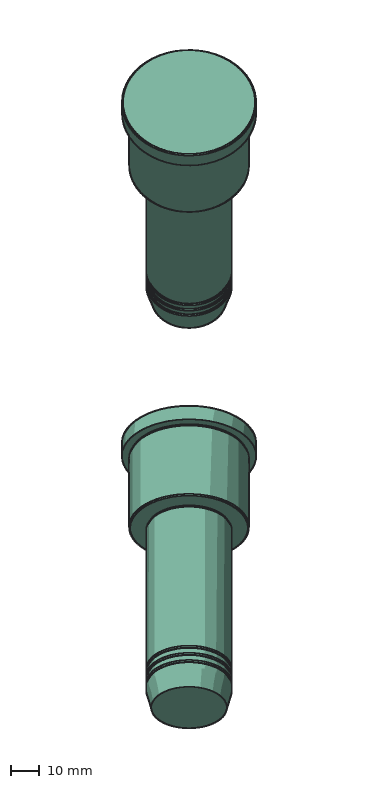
import cadquery as cq

total_height = 111.0
head_radius = 23.48
head_height = 6.0
head_chamfer = 0.4
body_radius = 21.0
body_height = 30.0
body_chamfer = 0.4
pin_radius = 15.0

undercut_depth = 0.5
undercut_neck = 0.3
undercut_height = 1.0

tip_height = 7.0
tip_radius = 13.2

groove_count = 3
groove_pitch = 3.0
groove_width = 1.0
groove_depth = 0.4
first_groove_z = 9.5

head_bottom = total_height - head_height
body_bottom = head_bottom - body_height


def cylinder(radius, bottom, top):
    return cq.Workplane("XY").workplane(offset=bottom).circle(radius).extrude(top - bottom)


def groove_cutter(center_z):
    """V-shaped ring whose point reaches into the pin and which is open to the outside."""
    half_width = groove_width / 2
    profile = (
        cq.Workplane("XZ")
        .moveTo(pin_radius - groove_depth, center_z)
        .lineTo(pin_radius, center_z - half_width)
        .lineTo(head_radius, center_z - half_width)
        .lineTo(head_radius, center_z + half_width)
        .lineTo(pin_radius, center_z + half_width)
        .close()
    )
    return profile.revolve(360, (0, 0, 0), (0, 1, 0))


def undercut_shaft(radius, bottom, shoulder):
    """Shaft that narrows just below the shoulder it hangs from."""
    neck_radius = radius - undercut_depth
    profile = (
        cq.Workplane("XZ")
        .moveTo(0, bottom)
        .lineTo(radius, bottom)
        .lineTo(radius, shoulder - undercut_height)
        .lineTo(neck_radius, shoulder - undercut_neck)
        .lineTo(neck_radius, shoulder)
        .lineTo(0, shoulder)
        .close()
    )
    return profile.revolve(360, (0, 0, 0), (0, 1, 0))


def tapered_tip():
    profile = (
        cq.Workplane("XZ")
        .lineTo(tip_radius, 0)
        .lineTo(pin_radius, tip_height)
        .lineTo(0, tip_height)
        .close()
    )
    return profile.revolve(360, (0, 0, 0), (0, 1, 0))


head = cylinder(head_radius, head_bottom, total_height).faces(">Z").edges().chamfer(head_chamfer)
body = undercut_shaft(body_radius, body_bottom, head_bottom).faces("<Z").edges().chamfer(body_chamfer)
pin = undercut_shaft(pin_radius, tip_height, body_bottom)

result = head.union(body).union(pin).union(tapered_tip())

for index in range(groove_count):
    result = result.cut(groove_cutter(first_groove_z + index * groove_pitch))